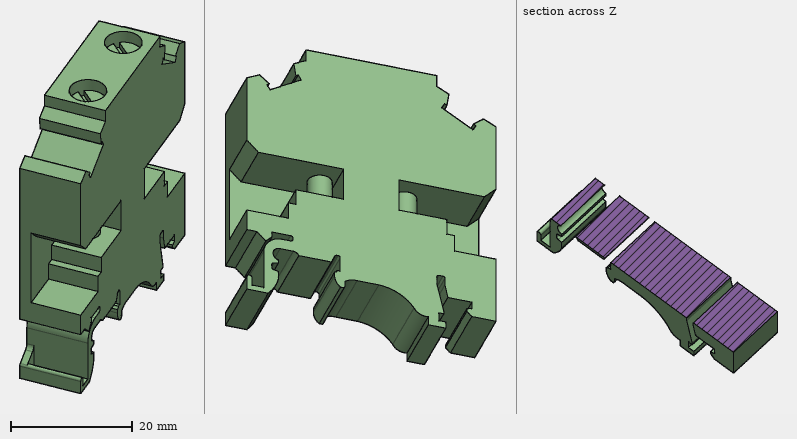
import cadquery as cq
import math


width = 11.0
length = 43.5
height = 50.85
half_length = length / 2

platform_half = 11.4
platform_step_z = 48.65
shoulder_y = 13.55
shoulder_z = 47.55
groove_inner_y = 12.25
groove_inner_z = 44.55
groove_outer_y = 17.65
groove_outer_z = 41.35
crest_y = 19.55
crest_z = 43.95
end_top_z = 42.8
hook_slant = 0.3
hook_reach = 0.4
inner_wall_run = 0.5
inner_wall_rise = 0.9
outer_wall_run = 0.55
outer_wall_rise = 0.85

heel_z = 3.4
heel_chamfer = 0.85
heel_toe_y = 17.5
heel_nose = 0.5
heel_nose_slant = 0.25
heel_recess_z = 6.3
slit_root_y = 13.3
slit_outer_y = 12.8
slit_inner_y = 11.4
slit_bend_z = 8.75
slit_top_z = 10.4
slit_corner_r = 0.35
foot_y_max = 12.95
foot_y_min = 9.9
foot_neck_y = 11.75
foot_side_y = 12.6
foot_side_z = 3.35
foot_lip_z = 1.25
foot_notch_z = 2.85
foot_inner_z = 1.65

arch_z = 6.1
arch_toe_mid = (8.45, 1.85)
arch_start_y = 7.4
arch_start_z = 2.85
arch_mid = (4.85, 5.15)
arch_left_y = 1.25
arch_right_y = -2.5
arch_end_mid = (-3.7, 5.95)

hook_y = -4.6
hook_arc_z = 5.5
hook_bottom_z = 4.1
hook_nose_y = -6.4
hook_nose_r = 2.55
hook_nose_low_z = 6.25
hook_nose_high_z = 6.95
hook_corner = 0.4
hook_top_z = hook_nose_high_z + hook_corner
gap_y = -5.45
gap_far_y = -6.4
gap_root_y = -6.9
underside_z = 8.85

spring_root_y = -12.65
spring_root_mid = (-13.1, 9.35)
spring_under_start_y = -13.65
spring_under_y = -15.9
spring_under_z = 9.5
spring_inner_mid = (-17.15, 8.15)
tooth_y = -16.2
tooth_low_z = 6.5
tooth_high_z = 7.15
notch_low_z = 4.85
notch_y = -17.35
notch_corner = 0.35
notch_slant = 0.15
sole_curve_z = 3.3
sole_mid = (-16.6, 2.15)
sole_bend_y = -17.3
sole_bend_z = 0.9
sole_y = -18.0
arm_y = -18.75
arm_top_z = 8.35
lip_radius = 0.45
lip_axis_z = 2.5
gusset_slope = 30
gusset_fillet_r = 1.05
lip_axis_y = lip_radius - half_length
spring_gap_low_z = 11.5
spring_gap_high_z = 12.55
spring_gap_end_y = -13.7
spring_gap_r = 0.4
spring_arc_y = -15.75
spring_outer_mid = (-17.9, 10.5)

stop_back_y = -17.35
stop_back_z = 11.6
stop_tip_y = -18.4
stop_tip_z = 10.5
stop_front_y = -20.0
stop_base_z = 12.05

gusset_width = 1.25
trough_floor_z = 1.0
trough_top_z = 6.1

screw_x = 6.1
screw_y = 7.35
screw_head_d = 6.2
screw_head_depth = 2.2
screw_slot_width = 1.0
screw_slot_depth = 1.0
screw_slot_angle = -45
screw_shank_d = 4.15
entry_wall = 2.1
entry_floor_z = 16.0
entry_roof_z = 28.15
entry_lead_in = 2.05
entry_back_y = 4.85
step_1_y = 14.5
step_1_z = 19.1
step_2_y = 13.15
step_2_z = 22.05


def shoulder_points(side):
    """Upper outline from the platform edge out to the end face; side is +1 or -1 along Y."""
    inner_hook_y = groove_inner_y + inner_wall_run
    inner_hook_z = groove_inner_z + inner_wall_rise
    outer_hook_y = groove_outer_y + outer_wall_run
    outer_hook_z = groove_outer_z + outer_wall_rise
    points = [
        (platform_half, height),
        (platform_half, platform_step_z),
        (shoulder_y, shoulder_z),
        (inner_hook_y + hook_reach, inner_hook_z - hook_slant),
        (inner_hook_y, inner_hook_z),
        (groove_inner_y, groove_inner_z),
        (groove_outer_y, groove_outer_z),
        (outer_hook_y, outer_hook_z),
        (outer_hook_y - hook_reach, outer_hook_z + hook_slant),
        (crest_y, crest_z),
        (half_length, end_top_z),
    ]
    return [(side * y, z) for y, z in points]


def lines(sketch, points):
    """Continue the outline through the given points with straight edges."""
    for point in points:
        sketch = sketch.lineTo(*point)
    return sketch


def fixed_foot(sketch):
    """Outline from the +Y end face to the start of the arch."""
    nose_y = heel_toe_y - heel_chamfer
    nose_low_z = heel_z + heel_chamfer
    nose_high_z = nose_low_z + heel_nose
    sketch = lines(sketch, [
        (half_length, heel_z),
        (heel_toe_y, heel_z),
        (nose_y, nose_low_z),
        (nose_y, nose_high_z),
        (heel_toe_y, nose_high_z + heel_nose_slant),
        (heel_toe_y, heel_recess_z),
        (slit_root_y, heel_recess_z),
        (slit_outer_y, slit_bend_z),
        (slit_outer_y, slit_top_z - slit_corner_r),
    ])
    sketch = sketch.radiusArc((slit_outer_y - slit_corner_r, slit_top_z), -slit_corner_r)
    sketch = sketch.lineTo(slit_inner_y + slit_corner_r, slit_top_z)
    sketch = sketch.radiusArc((slit_inner_y, slit_top_z - slit_corner_r), -slit_corner_r)
    return lines(sketch, [
        (slit_inner_y, slit_bend_z),
        (foot_side_y, foot_side_z),
        (foot_side_y, foot_notch_z),
        (foot_neck_y, foot_notch_z),
        (foot_neck_y, foot_lip_z),
        (foot_y_max, foot_lip_z),
        (foot_y_max, 0),
        (foot_y_min, 0),
        (foot_y_min, foot_inner_z),
    ])


def arch_and_hook(sketch):
    """Outline along the arch, around the rail hook and to the root of the sprung foot."""
    sketch = sketch.threePointArc(arch_toe_mid, (arch_start_y, arch_start_z))
    sketch = sketch.threePointArc(arch_mid, (arch_left_y, arch_z))
    sketch = sketch.lineTo(arch_right_y, arch_z)
    sketch = sketch.threePointArc(arch_end_mid, (hook_y, hook_arc_z))
    sketch = lines(sketch, [
        (hook_y, hook_bottom_z + hook_corner),
        (hook_y - hook_corner / 2, hook_bottom_z),
        (hook_y - 2 * hook_corner, hook_bottom_z),
    ])
    sketch = sketch.radiusArc((hook_nose_y, hook_nose_low_z), hook_nose_r)
    sketch = sketch.lineTo(hook_nose_y, hook_nose_high_z)
    sketch = sketch.radiusArc((hook_nose_y + hook_corner, hook_top_z), -hook_corner)
    sketch = lines(sketch, [(gap_y, hook_top_z), (gap_y, slit_top_z - slit_corner_r)])
    sketch = sketch.radiusArc((gap_y - slit_corner_r, slit_top_z), -slit_corner_r)
    sketch = sketch.lineTo(gap_far_y + slit_corner_r, slit_top_z)
    sketch = sketch.radiusArc((gap_far_y, slit_top_z - slit_corner_r), -slit_corner_r)
    return lines(sketch, [(gap_root_y, underside_z), (spring_root_y, underside_z)])


def gusset(sketch):
    """Outline from the rounded lip up the sloping gusset into the spring arm."""
    slope = math.radians(gusset_slope)
    lip_end_y = lip_axis_y - lip_radius * math.sin(slope)
    lip_end_z = lip_axis_z + lip_radius * math.cos(slope)
    corner_z = lip_end_z + (arm_y - lip_end_y) * math.tan(slope)
    tangent = gusset_fillet_r * math.tan((math.pi / 2 - slope) / 2)
    sketch = sketch.lineTo(-half_length, lip_axis_z)
    sketch = sketch.radiusArc((lip_end_y, lip_end_z), lip_radius)
    sketch = sketch.lineTo(arm_y - tangent * math.cos(slope), corner_z - tangent * math.sin(slope))
    return sketch.radiusArc((arm_y, corner_z + tangent), -gusset_fillet_r)


def sprung_foot(sketch):
    """Outline around the release foot, its spring arm and the stop above it."""
    sketch = sketch.threePointArc(spring_root_mid, (spring_under_start_y, spring_under_z))
    sketch = sketch.lineTo(spring_under_y, spring_under_z)
    sketch = sketch.threePointArc(spring_inner_mid, (tooth_y, tooth_high_z))
    notch_top_z = tooth_low_z - notch_slant
    notch_bottom_z = notch_low_z + notch_slant
    sketch = lines(sketch, [(tooth_y, tooth_low_z), (notch_y + notch_corner, notch_top_z)])
    sketch = sketch.radiusArc((notch_y, notch_top_z - notch_corner), -notch_corner)
    sketch = sketch.lineTo(notch_y, notch_bottom_z + notch_corner)
    sketch = sketch.radiusArc((notch_y + notch_corner, notch_bottom_z), -notch_corner)
    sketch = lines(sketch, [(tooth_y, notch_low_z), (tooth_y, sole_curve_z)])
    sketch = sketch.threePointArc(sole_mid, (sole_bend_y, sole_bend_z))
    sketch = lines(sketch, [(sole_y, 0), (-half_length, 0)])
    sketch = gusset(sketch)
    sketch = sketch.lineTo(arm_y, arm_top_z)
    sketch = sketch.threePointArc(spring_outer_mid, (spring_arc_y, spring_gap_low_z))
    sketch = sketch.lineTo(spring_gap_end_y - spring_gap_r, spring_gap_low_z)
    low_corner_z = spring_gap_low_z + spring_gap_r
    high_corner_z = spring_gap_high_z - spring_gap_r
    sketch = sketch.radiusArc((spring_gap_end_y, low_corner_z), -spring_gap_r)
    sketch = sketch.lineTo(spring_gap_end_y, high_corner_z)
    sketch = sketch.radiusArc((spring_gap_end_y - spring_gap_r, spring_gap_high_z), -spring_gap_r)
    return lines(sketch, [
        (stop_back_y, spring_gap_high_z),
        (stop_back_y, stop_back_z),
        (stop_tip_y, stop_tip_z),
        (stop_front_y, stop_base_z),
        (-half_length, stop_base_z),
    ])


def block():
    """Full-width block with the complete outline."""
    plus_side = shoulder_points(1)
    minus_side = shoulder_points(-1)
    sketch = cq.Workplane("YZ").moveTo(*plus_side[0])
    sketch = lines(sketch, plus_side[1:])
    sketch = fixed_foot(sketch)
    sketch = arch_and_hook(sketch)
    sketch = sprung_foot(sketch)
    sketch = lines(sketch, reversed(minus_side))
    return sketch.close().extrude(width)


def finger_trough():
    """Cutter that leaves a rounded lip in front of a trough, beside the corner gusset."""
    lip_back_y = lip_axis_y + lip_radius
    lip_top_z = lip_axis_z + lip_radius
    sketch = (
        cq.Workplane("YZ", origin=(gusset_width, 0, 0))
        .moveTo(arm_y, trough_floor_z)
        .lineTo(arm_y, trough_top_z)
        .lineTo(-half_length, trough_top_z)
        .lineTo(-half_length, lip_axis_z)
        .threePointArc((lip_axis_y, lip_top_z), (lip_back_y, lip_axis_z))
        .lineTo(lip_back_y, trough_floor_z)
    )
    return sketch.close().extrude(width - gusset_width)


def screw_recess(side):
    """Cutter for the round recess above a screw head and the slot in the head."""
    head_z = height - screw_head_depth
    slot_floor = (screw_x, side * screw_y, head_z - screw_slot_depth)
    recess = (
        cq.Workplane("XY", origin=(screw_x, side * screw_y, head_z))
        .circle(screw_head_d / 2)
        .extrude(screw_head_depth)
    )
    head = (
        cq.Workplane("XY", origin=slot_floor)
        .circle(screw_head_d / 2)
        .extrude(screw_slot_depth)
    )
    slot = (
        cq.Workplane("XY", origin=slot_floor)
        .transformed(rotate=(0, 0, screw_slot_angle))
        .rect(2 * screw_head_d, screw_slot_width)
        .extrude(screw_slot_depth)
    )
    return recess.union(head.intersect(slot))


def wire_entry(side):
    """Cutter for a stepped wire entry with a chamfered mouth that leaves the screw shank standing."""
    profile = [
        (half_length, entry_floor_z),
        (half_length, entry_roof_z + entry_lead_in),
        (half_length - entry_lead_in, entry_roof_z),
        (entry_back_y, entry_roof_z),
        (entry_back_y, step_2_z),
        (step_2_y, step_2_z),
        (step_2_y, step_1_z),
        (step_1_y, step_1_z),
        (step_1_y, entry_floor_z),
    ]
    chamber = (
        cq.Workplane("YZ", origin=(entry_wall, 0, 0))
        .polyline([(side * y, z) for y, z in profile])
        .close()
        .extrude(width - entry_wall)
    )
    shank = (
        cq.Workplane("XY", origin=(screw_x, side * screw_y, step_2_z))
        .circle(screw_shank_d / 2)
        .extrude(entry_roof_z - step_2_z)
    )
    return chamber.cut(shank)


result = block().cut(finger_trough())
for end in (1, -1):
    result = result.cut(screw_recess(end)).cut(wire_entry(end))